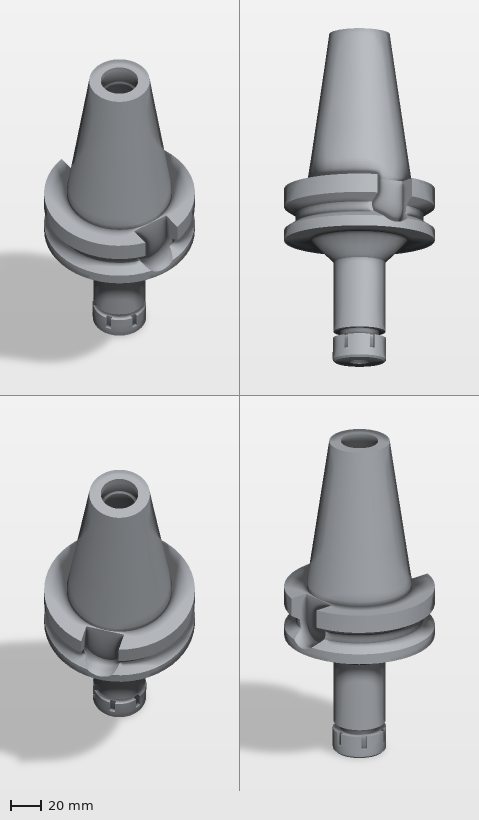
import cadquery as cq
import math


total_height = 221.8
gauge_z = 120.0
gauge_radius = 34.93
taper_per_length = 7 / 24
taper_top_radius = gauge_radius - (total_height - gauge_z) * taper_per_length / 2

flange_radius = 100.0 / 2
flange_top_z = 117.0
flange_bottom_z = 82.0
groove_radius = 42.5
groove_top_z = 104.7
groove_floor_top_z = 99.8
groove_floor_bottom_z = 93.8
groove_bottom_z = 89.2

drive_slot_width = 26.0
drive_slot_floor_x = 35.3
drive_slot_bottom_z = 85.8

shank_radius = 17.3
shank_top_z = 67.5
shank_bottom_z = 20.5
cone_top_radius = shank_radius + (flange_bottom_z - shank_top_z)
neck_radius = 13.0
nose_z = 8.9

pilot_radius = 12.5
pilot_depth = 13.0
thread_radius = 10.5
thread_bottom_z = 159.7
rear_hole_radius = 7.8

collet_radius = 10.5
collet_rear_radius = rear_hole_radius
collet_half_angle = 8.0
collet_bore_radius = 6.5
collet_rear_z = nose_z + (collet_radius - collet_rear_radius) / math.tan(math.radians(collet_half_angle))

nut_radius = 17.7
nut_top_z = 15.7
nut_chamfer = 1.3
wrench_slot_count = 6
wrench_slot_width = 3.8
wrench_slot_floor_radius = 15.3
wrench_slot_bottom_z = 6.7


def revolve_profile(points):
    """Turn a closed (radius, z) outline around the Z axis."""
    return cq.Workplane("XZ").polyline(points).close().revolve(360, (0, 0), (0, 1))


def make_drive_slot():
    """Cutter for the +X drive slot: open at the top, with a half-round bottom."""
    round_radius = drive_slot_width / 2
    round_center_z = drive_slot_bottom_z + round_radius
    return (
        cq.Workplane("YZ", origin=(drive_slot_floor_x, 0, 0))
        .moveTo(-round_radius, flange_top_z)
        .lineTo(-round_radius, round_center_z)
        .threePointArc((0, drive_slot_bottom_z), (round_radius, round_center_z))
        .lineTo(round_radius, flange_top_z)
        .close()
        .extrude(flange_radius - drive_slot_floor_x)
    )


def make_holder():
    """Taper, flange and shank, bored through, with a conical seat for the collet."""
    holder = revolve_profile([
        (pilot_radius, total_height),
        (taper_top_radius, total_height),
        (gauge_radius, gauge_z),
        (gauge_radius, flange_top_z),
        (flange_radius, flange_top_z),
        (flange_radius, groove_top_z),
        (groove_radius, groove_floor_top_z),
        (groove_radius, groove_floor_bottom_z),
        (flange_radius, groove_bottom_z),
        (flange_radius, flange_bottom_z),
        (cone_top_radius, flange_bottom_z),
        (shank_radius, shank_top_z),
        (shank_radius, shank_bottom_z),
        (neck_radius, shank_bottom_z),
        (neck_radius, nose_z),
        (collet_radius, nose_z),
        (collet_rear_radius, collet_rear_z),
        (rear_hole_radius, thread_bottom_z),
        (thread_radius, thread_bottom_z),
        (thread_radius, total_height - pilot_depth),
        (pilot_radius, total_height - pilot_depth),
    ])
    drive_slot = make_drive_slot()
    for angle in (0, 180):
        holder = holder.cut(drive_slot.rotate((0, 0, 0), (0, 0, 1), angle))
    return holder


def make_collet():
    """Bored sleeve that tapers into the holder and ends flush with the nut."""
    return revolve_profile([
        (collet_bore_radius, 0),
        (collet_radius, 0),
        (collet_radius, nose_z),
        (collet_rear_radius, collet_rear_z),
        (collet_bore_radius, collet_rear_z),
    ])


def make_nut():
    """Ring around the neck and the collet, with wrench slots open at the top."""
    nut = revolve_profile([
        (collet_radius, 0),
        (nut_radius - nut_chamfer, 0),
        (nut_radius, nut_chamfer),
        (nut_radius, nut_top_z),
        (neck_radius, nut_top_z),
        (neck_radius, nose_z),
        (collet_radius, nose_z),
    ])
    wrench_slot = cq.Workplane("XY").box(
        nut_radius - wrench_slot_floor_radius,
        wrench_slot_width,
        nut_top_z - wrench_slot_bottom_z,
        centered=(False, True, False),
    ).translate((wrench_slot_floor_radius, 0, wrench_slot_bottom_z))
    for index in range(wrench_slot_count):
        angle = index * 360 / wrench_slot_count
        nut = nut.cut(wrench_slot.rotate((0, 0, 0), (0, 0, 1), angle))
    return nut


holder = make_holder()
collet = make_collet()
nut = make_nut()

result = cq.Compound.makeCompound([holder.val(), collet.val(), nut.val()])